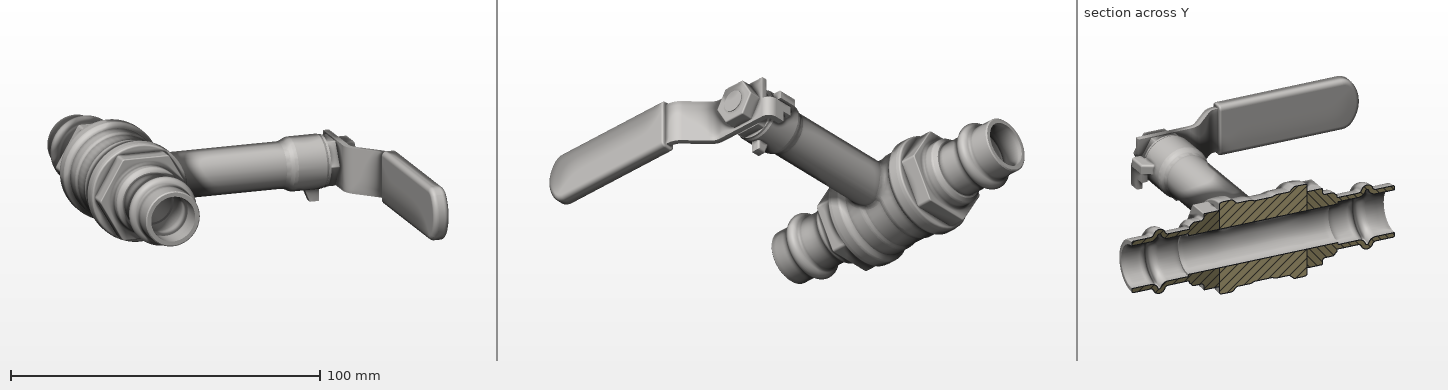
import cadquery as cq
import math

BORE_RADIUS = 6.8
OVERALL_LENGTH = 123.6
OVERALL_DEPTH = 101.5

HOUSING_HALF_LENGTH = 16.0
FLANGE_RADIUS = 33.0 / 2
FLANGE_INNER_X = 11.2
FLANGE_CROWN_X = 14.3
FLANGE_FACE_RADIUS = 16.3
FLANGE_EDGE_FILLET = 0.6
FLANGE_BACK_FILLET = 1.1
SHOULDER_RADIUS = 15.0
SHOULDER_OUTER_X = 9.5
SHOULDER_INNER_X = 4.6
SHOULDER_FILLET = 1.9
WAIST_RADIUS = 14.5
WAIST_HALF_LENGTH = 3.2

NECK_RADIUS = 15.5 / 2
NECK_ROOT_FILLET = 1.7
FLARE_START_Y = 54.1
FLARE_END_Y = 56.5
FLARE_START_FILLET = 3.1
FLARE_END_FILLET = 2.3
HEAD_RADIUS = 17.9 / 2
HEAD_TOP_Y = 67.6
HEAD_RIM_CHAMFER = (0.7, 0.4)

LUG_REACH = 12.5
LUG_THICKNESS = 3.1
LUG_FILLET = 0.7
TALL_LUG_TOP_Y = 69.1
TALL_LUG_TIP_Y = 62.4
TALL_LUG_ROOT_Y = 60.5
LUG_CLEARANCE_RADIUS = 9.6
SHORT_LUG_TOP_Y = 66.1
SHORT_LUG_TIP_Y = 62.9
SHORT_LUG_ROOT_Y = 61.4

CONNECTOR_END_X = 95.3 / 2
TUBE_RADIUS = 9.3
TUBE_WALL = 1.7
TUBE_BORE_END_X = 27.2
TUBE_EDGE_CHAMFER = 0.4
BEAD_X = 37.7
BEAD_ROUND = 2.2
BEAD_FILLET = 1.1
COLLAR_RADIUS = 11.4
COLLAR_END_X = 26.8
COLLAR_CHAMFER = 1.4
COLLAR_EDGE_FILLET = 1.0
HEX_END_X = 21.6
HEX_FLATS = 27.3
HEX_CORNER_FILLET = 1.1
HEX_EDGE_FILLET = 0.4
HEX_ROOT_FILLET = 0.9

GLAND_FLANGE_RADIUS = 8.7
GLAND_FLANGE_TOP_Y = 68.4
GLAND_FLATS = 15.1
GLAND_TOP_Y = 71.2
GLAND_CORNER_FILLET = 0.5

LEVER_THICKNESS = 2.0
LEVER_BOTTOM_Y = 71.7
LEVER_WIDTH = 15.3
LEVER_END_X = -8.7
LEVER_RAMP_START_X = 12.5
RAMP_BEND_RADIUS = 4.3
TAIL_BEND_RADIUS = 1.2
LEVER_TIP_X = 68.0
TAIL_INNER_X = -9.6
TAIL_TOP_Z = -0.5
TAIL_WIDE_BOTTOM_Y = 67.0
TAIL_BOTTOM_Y = 63.5
TAIL_NARROW_BOTTOM_Z = -3.8

GRIP_START_X = 25.0
GRIP_THICKNESS = 5.3
GRIP_WIDTH = 17.8
GRIP_TIP_RADIUS = 11.1
GRIP_CORNER_RADIUS = 5.0
GRIP_EDGE_FILLET = 1.6
GRIP_MOUTH_FILLET = 0.6

NUT_FLATS = 13.1
NUT_TOP_Y = 78.1
NUT_EDGE_FILLET = 0.5
STEM_RADIUS = 3.7
STEM_TOP_Y = 78.5
STEM_BOTTOM_Y = 9.9

SELECTOR_MARGIN = 0.1
LEVER_TOP_Y = LEVER_BOTTOM_Y + LEVER_THICKNESS
GRIP_END_X = OVERALL_LENGTH - CONNECTOR_END_X
GRIP_TOP_Y = OVERALL_DEPTH - FLANGE_RADIUS
GRIP_MID_Y = GRIP_TOP_Y - GRIP_THICKNESS / 2


def y_cylinder(radius, bottom_y, top_y):
    """Cylinder on the stem axis."""
    return cq.Workplane("XZ", origin=(0, bottom_y, 0)).circle(radius).extrude(bottom_y - top_y)


def y_hexagon(flats, bottom_y, top_y):
    """Hexagonal prism on the stem axis with two corners on the X axis."""
    corner_diameter = flats / math.cos(math.pi / 6)
    plane = cq.Workplane("XZ", origin=(0, bottom_y, 0))
    return plane.polygon(6, corner_diameter).extrude(bottom_y - top_y)


def x_cylinder(radius, start_x, end_x):
    """Cylinder on the flow axis."""
    return cq.Workplane("YZ", origin=(start_x, 0, 0)).circle(radius).extrude(end_x - start_x)


def stem_hole(bottom_y, top_y):
    return y_cylinder(STEM_RADIUS, bottom_y, top_y)


def circle_at(x, y, radius):
    """Selector for a round edge: around the flow axis at `x`, or around the stem axis at `y`."""
    reach = radius + SELECTOR_MARGIN
    x_reach = SELECTOR_MARGIN if x else reach
    y_reach = SELECTOR_MARGIN if y else reach
    low_corner = (x - x_reach, y - y_reach, -reach)
    high_corner = (x + x_reach, y + y_reach, reach)
    return cq.selectors.BoxSelector(low_corner, high_corner, boundingbox=True)


def housing_barrel():
    half_outline = [
        (WAIST_HALF_LENGTH, WAIST_RADIUS),
        (SHOULDER_INNER_X, SHOULDER_RADIUS),
        (SHOULDER_OUTER_X, SHOULDER_RADIUS),
        (FLANGE_INNER_X, FLANGE_RADIUS),
        (FLANGE_CROWN_X, FLANGE_RADIUS),
        (HOUSING_HALF_LENGTH, FLANGE_FACE_RADIUS),
        (HOUSING_HALF_LENGTH, 0),
    ]
    mirrored = [(-x, r) for x, r in reversed(half_outline)]
    barrel = cq.Workplane("XY").polyline(mirrored + half_outline).close()
    barrel = barrel.revolve(360, (0, 0, 0), (1, 0, 0))
    for side in (-1, 1):
        flange_back = circle_at(side * FLANGE_INNER_X, 0, FLANGE_RADIUS)
        shoulder_edge = circle_at(side * SHOULDER_INNER_X, 0, SHOULDER_RADIUS)
        barrel = barrel.edges(flange_back).fillet(FLANGE_BACK_FILLET)
        barrel = barrel.edges(shoulder_edge).fillet(SHOULDER_FILLET)
    return barrel.faces("<X or >X").edges().fillet(FLANGE_EDGE_FILLET)


def neck():
    rim_height, rim_inset = HEAD_RIM_CHAMFER
    outline = [
        (0, 0),
        (NECK_RADIUS, 0),
        (NECK_RADIUS, FLARE_START_Y),
        (HEAD_RADIUS, FLARE_END_Y),
        (HEAD_RADIUS, HEAD_TOP_Y - rim_height),
        (HEAD_RADIUS - rim_inset, HEAD_TOP_Y),
        (0, HEAD_TOP_Y),
    ]
    body = cq.Workplane("XY").polyline(outline).close().revolve(360, (0, 0, 0), (0, 1, 0))
    flare_ends = (
        (NECK_RADIUS, FLARE_START_Y, FLARE_START_FILLET),
        (HEAD_RADIUS, FLARE_END_Y, FLARE_END_FILLET),
    )
    for radius, y, fillet in flare_ends:
        body = body.edges(circle_at(0, y, radius)).fillet(fillet)
    return body


def stop_lug(top_y, tip_y, root_y):
    """Lug on the -X side of the head, sloping back to it below."""
    outline = [
        (-NECK_RADIUS, top_y),
        (-LUG_REACH, top_y),
        (-LUG_REACH, tip_y),
        (-HEAD_RADIUS, root_y),
        (-NECK_RADIUS, root_y),
    ]
    return cq.Workplane("XY").polyline(outline).close().extrude(LUG_THICKNESS)


def tall_lug():
    """Stop that the lever tail rests against; it stands above the head, clear of the gland."""
    lug = stop_lug(TALL_LUG_TOP_Y, TALL_LUG_TIP_Y, TALL_LUG_ROOT_Y)
    lug = lug.faces(">Z").edges("not (>X or >Y)").fillet(LUG_FILLET)
    rim_bottom_y = HEAD_TOP_Y - HEAD_RIM_CHAMFER[0]
    return lug.cut(y_cylinder(LUG_CLEARANCE_RADIUS, rim_bottom_y, TALL_LUG_TOP_Y))


def short_lug():
    """Lower stop on the -Z side, its rounded face on the neck's middle plane."""
    lug = stop_lug(SHORT_LUG_TOP_Y, SHORT_LUG_TIP_Y, SHORT_LUG_ROOT_Y)
    lug = lug.faces(">Z").edges("not >X").fillet(LUG_FILLET)
    return lug.rotate((0, 0, 0), (0, 1, 0), -90).translate((LUG_THICKNESS, 0, 0))


def make_housing():
    barrel_and_neck = housing_barrel().union(neck())
    reach = NECK_RADIUS + SELECTOR_MARGIN
    root_zone = cq.selectors.BoxSelector(
        (-reach, NECK_RADIUS, -reach),
        (reach, FLANGE_RADIUS, reach),
        boundingbox=True,
    )
    body = barrel_and_neck.edges(root_zone).fillet(NECK_ROOT_FILLET)
    body = body.union(tall_lug()).union(short_lug())
    body = body.cut(x_cylinder(BORE_RADIUS, -HOUSING_HALF_LENGTH, HOUSING_HALF_LENGTH))
    return body.cut(stem_hole(STEM_BOTTOM_Y, HEAD_TOP_Y))


def connector_hexagon():
    corner_diameter = HEX_FLATS / math.cos(math.pi / 6)
    plane = cq.Workplane("YZ", origin=(HOUSING_HALF_LENGTH, 0, 0))
    hexagon = plane.polygon(6, corner_diameter).extrude(HEX_END_X - HOUSING_HALF_LENGTH)
    hexagon = hexagon.edges("|X").fillet(HEX_CORNER_FILLET)
    return hexagon.faces("<X or >X").edges().fillet(HEX_EDGE_FILLET)


def bead_curve(profile, inset):
    """Continue a profile over the O-ring bead, or over its parallel curve `inset` further in.

    The rounded bead blends into the tube with an arc on each side, tangent to both.
    """
    base = TUBE_RADIUS - inset
    round_radius = BEAD_ROUND - inset
    blend_radius = BEAD_FILLET + inset
    arc_distance = BEAD_ROUND + BEAD_FILLET
    half_length = math.sqrt(arc_distance ** 2 - BEAD_FILLET ** 2)
    sweep = math.atan2(half_length, BEAD_FILLET)
    touch_x = round_radius * math.sin(sweep)
    touch_r = TUBE_RADIUS + round_radius * math.cos(sweep)
    middle_x = half_length - blend_radius * math.sin(sweep / 2)
    middle_r = base + blend_radius * (1 - math.cos(sweep / 2))
    return (
        profile.lineTo(BEAD_X - half_length, base)
        .threePointArc((BEAD_X - middle_x, middle_r), (BEAD_X - touch_x, touch_r))
        .threePointArc((BEAD_X, TUBE_RADIUS + round_radius), (BEAD_X + touch_x, touch_r))
        .threePointArc((BEAD_X + middle_x, middle_r), (BEAD_X + half_length, base))
    )


def connector_tube():
    """Round tube with its collar and bead, on the flow axis."""
    profile = (
        cq.Workplane("XY")
        .moveTo(HOUSING_HALF_LENGTH, 0)
        .lineTo(HOUSING_HALF_LENGTH, COLLAR_RADIUS)
        .lineTo(HEX_END_X, COLLAR_RADIUS + HEX_ROOT_FILLET)
        .radiusArc((HEX_END_X + HEX_ROOT_FILLET, COLLAR_RADIUS), -HEX_ROOT_FILLET)
        .lineTo(COLLAR_END_X - COLLAR_CHAMFER, COLLAR_RADIUS)
        .lineTo(COLLAR_END_X, COLLAR_RADIUS - COLLAR_CHAMFER)
        .lineTo(COLLAR_END_X, TUBE_RADIUS)
    )
    profile = (
        bead_curve(profile, 0)
        .lineTo(CONNECTOR_END_X - TUBE_EDGE_CHAMFER, TUBE_RADIUS)
        .lineTo(CONNECTOR_END_X, TUBE_RADIUS - TUBE_EDGE_CHAMFER)
        .lineTo(CONNECTOR_END_X, 0)
        .close()
    )
    tube = profile.revolve(360, (0, 0, 0), (1, 0, 0))
    collar_edge = circle_at(COLLAR_END_X - COLLAR_CHAMFER, 0, COLLAR_RADIUS)
    return tube.edges(collar_edge).fillet(COLLAR_EDGE_FILLET)


def tube_bore():
    """Bore of the tube, with the groove inside the bead."""
    bore_radius = TUBE_RADIUS - TUBE_WALL
    profile = cq.Workplane("XY").moveTo(TUBE_BORE_END_X, 0).lineTo(TUBE_BORE_END_X, bore_radius)
    profile = bead_curve(profile, TUBE_WALL)
    profile = profile.lineTo(CONNECTOR_END_X, bore_radius).lineTo(CONNECTOR_END_X, 0).close()
    return profile.revolve(360, (0, 0, 0), (1, 0, 0))


def make_connector(angle):
    """Connector on the +X side, turned about the stem axis to its own side."""
    connector = connector_hexagon().union(connector_tube())
    connector = connector.cut(x_cylinder(BORE_RADIUS, HOUSING_HALF_LENGTH, CONNECTOR_END_X))
    connector = connector.cut(tube_bore())
    return connector.rotate((0, 0, 0), (0, 1, 0), angle)


def make_gland():
    flange = y_cylinder(GLAND_FLANGE_RADIUS, HEAD_TOP_Y, GLAND_FLANGE_TOP_Y)
    hexagon = y_hexagon(GLAND_FLATS, GLAND_FLANGE_TOP_Y, GLAND_TOP_Y)
    hexagon = hexagon.edges("|Y").fillet(GLAND_CORNER_FILLET)
    return flange.union(hexagon).cut(stem_hole(HEAD_TOP_Y, GLAND_TOP_Y))


def lever_strip():
    """Flat strip over the gland, ramped at 45 degrees up to the grip."""
    rise = GRIP_MID_Y - LEVER_THICKNESS / 2 - LEVER_BOTTOM_Y
    half_shift = LEVER_THICKNESS / 2 * math.tan(math.pi / 8)
    ramp_end_x = LEVER_RAMP_START_X + rise
    outline = [
        (LEVER_END_X, LEVER_BOTTOM_Y),
        (LEVER_RAMP_START_X + half_shift, LEVER_BOTTOM_Y),
        (ramp_end_x + half_shift, LEVER_BOTTOM_Y + rise),
        (LEVER_TIP_X, LEVER_BOTTOM_Y + rise),
        (LEVER_TIP_X, LEVER_TOP_Y + rise),
        (ramp_end_x - half_shift, LEVER_TOP_Y + rise),
        (LEVER_RAMP_START_X - half_shift, LEVER_TOP_Y),
        (LEVER_END_X, LEVER_TOP_Y),
    ]
    plane = cq.Workplane("XY", origin=(0, 0, -LEVER_WIDTH / 2))
    strip = plane.polyline(outline).close().extrude(LEVER_WIDTH)
    bends = (
        (outline[6], RAMP_BEND_RADIUS),
        (outline[2], RAMP_BEND_RADIUS),
        (outline[1], RAMP_BEND_RADIUS + LEVER_THICKNESS),
        (outline[5], RAMP_BEND_RADIUS + LEVER_THICKNESS),
    )
    for (x, y), radius in bends:
        strip = strip.edges(cq.selectors.NearestToPointSelector((x, y, 0))).fillet(radius)
    return strip


def lever_tail():
    """Half-width tail bent down beside the head, with a narrow tongue beside the tall lug."""
    bend_x = TAIL_INNER_X + TAIL_BEND_RADIUS
    bend_y = LEVER_BOTTOM_Y - TAIL_BEND_RADIUS
    outer_x = TAIL_INNER_X - LEVER_THICKNESS
    depth = LEVER_WIDTH / 2 + TAIL_TOP_Z
    tail = (
        cq.Workplane("XY", origin=(0, 0, TAIL_TOP_Z))
        .moveTo(0, LEVER_TOP_Y)
        .lineTo(bend_x, LEVER_TOP_Y)
        .radiusArc((outer_x, bend_y), -(TAIL_BEND_RADIUS + LEVER_THICKNESS))
        .lineTo(outer_x, TAIL_BOTTOM_Y)
        .lineTo(TAIL_INNER_X, TAIL_BOTTOM_Y)
        .lineTo(TAIL_INNER_X, bend_y)
        .radiusArc((bend_x, LEVER_BOTTOM_Y), TAIL_BEND_RADIUS)
        .lineTo(0, LEVER_BOTTOM_Y)
        .close()
        .extrude(-depth)
    )
    notch = cq.Workplane("XY").box(
        LEVER_WIDTH,
        TAIL_WIDE_BOTTOM_Y - TAIL_BOTTOM_Y,
        LEVER_WIDTH,
        centered=(True, False, False),
    )
    notch_place = (TAIL_INNER_X, TAIL_BOTTOM_Y, TAIL_NARROW_BOTTOM_Z - LEVER_WIDTH)
    return tail.cut(notch.translate(notch_place))


def make_lever():
    lever = lever_strip().union(lever_tail())
    return lever.cut(stem_hole(LEVER_BOTTOM_Y, LEVER_TOP_Y))


def make_grip(lever):
    """Sleeve over the lever, with a crowned tip whose corner arcs are tangent to its sides."""
    half_width = GRIP_WIDTH / 2
    corner_z = half_width - GRIP_CORNER_RADIUS
    tip_center_x = GRIP_END_X - GRIP_TIP_RADIUS
    centers_distance = GRIP_TIP_RADIUS - GRIP_CORNER_RADIUS
    corner_x = tip_center_x + math.sqrt(centers_distance ** 2 - corner_z ** 2)
    turn = math.asin(corner_z / centers_distance)
    touch_x = tip_center_x + GRIP_TIP_RADIUS * math.cos(turn)
    touch_z = GRIP_TIP_RADIUS * math.sin(turn)
    middle_angle = (turn + math.pi / 2) / 2
    middle_x = corner_x + GRIP_CORNER_RADIUS * math.cos(middle_angle)
    middle_z = corner_z + GRIP_CORNER_RADIUS * math.sin(middle_angle)
    grip = (
        cq.Workplane("XZ", origin=(0, GRIP_TOP_Y, 0))
        .moveTo(GRIP_START_X, half_width)
        .lineTo(corner_x, half_width)
        .threePointArc((middle_x, middle_z), (touch_x, touch_z))
        .threePointArc((GRIP_END_X, 0), (touch_x, -touch_z))
        .threePointArc((middle_x, -middle_z), (corner_x, -half_width))
        .lineTo(GRIP_START_X, -half_width)
        .close()
        .extrude(GRIP_THICKNESS)
    )
    grip = grip.faces("<Y or >Y").edges("not <X").fillet(GRIP_EDGE_FILLET)
    grip = grip.faces("<X").edges().fillet(GRIP_MOUTH_FILLET)
    return grip.cut(lever)


def make_nut():
    nut = y_hexagon(NUT_FLATS, LEVER_TOP_Y, NUT_TOP_Y)
    nut = nut.edges("|Y").fillet(NUT_EDGE_FILLET)
    nut = nut.faces(">Y").edges().fillet(NUT_EDGE_FILLET)
    return nut.cut(stem_hole(LEVER_TOP_Y, NUT_TOP_Y))


def make_stem():
    return y_cylinder(STEM_RADIUS, STEM_BOTTOM_Y, STEM_TOP_Y)


housing = make_housing()
connectors = [make_connector(angle) for angle in (0, 180)]
gland = make_gland()
lever = make_lever()
grip = make_grip(lever)
nut = make_nut()
stem = make_stem()

result = cq.Compound.makeCompound(
    [
        housing.val(),
        *[connector.val() for connector in connectors],
        gland.val(),
        lever.val(),
        grip.val(),
        nut.val(),
        stem.val(),
    ]
)